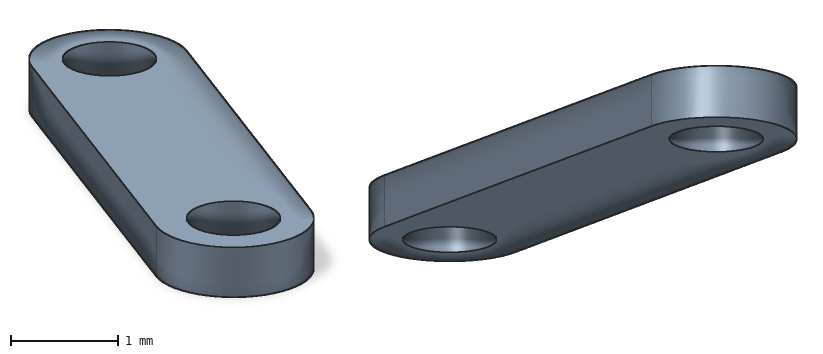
import cadquery as cq

length = 5.75
width = 1.5
thickness = 0.5
hole_diameter = 0.875

hole_spacing = length - width

link = cq.Workplane("XY").slot2D(length, width).extrude(thickness)

result = (
    link.faces(">Z")
    .workplane(origin=(0, 0, thickness))
    .pushPoints([(-hole_spacing / 2, 0), (hole_spacing / 2, 0)])
    .hole(hole_diameter)
)